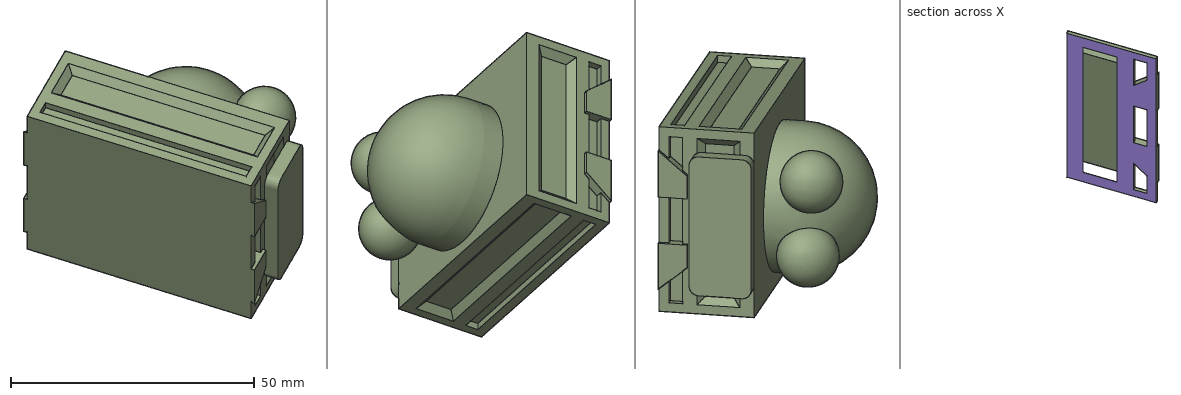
import cadquery as cq

HOUSING_WIDTH = 50.05
HOUSING_DEPTH = 20.0
HOUSING_HEIGHT = 40.0
HALF_WIDTH = HOUSING_WIDTH / 2
HALF_HEIGHT = HOUSING_HEIGHT / 2

WALL_MARGIN = 2.0
POCKET_BACK_MARGIN = 3.0
POCKET_WIDTH = 9.0
POCKET_DEPTH = 1.5
POCKET_TAPER_ANGLE = 45
SLOT_WIDTH = 2.9
SLOT_FRONT_MARGIN = 2.1
SLOT_DEPTH = 1.5

TAB_THICKNESS = 0.75
TAB_LENGTH = 6.0
TAB_INNER_Z = 5.0
TAB_ROOT_HEIGHT = 10.0
TAB_TIP_HEIGHT = TAB_ROOT_HEIGHT / 2

PAD_THICKNESS = 3.0
PAD_DEPTH = 13.0
PAD_HEIGHT = 30.1
PAD_CORNER_RADIUS = 2.0

DOME_RADIUS = 31.5 / 2
DOME_COLLAR = 4.45
DOME_Z = -1.7
DOME_CENTRE_Y = HOUSING_DEPTH + DOME_COLLAR

BALL_RADIUS = 6.45
BALL_CENTRES = [
    (15.2, DOME_CENTRE_Y + 5.5, DOME_Z + 8.65),
    (13.95, DOME_CENTRE_Y + 4.45, DOME_Z - 7.85),
]

POCKET_Y = HOUSING_DEPTH - POCKET_BACK_MARGIN - POCKET_WIDTH / 2
SLOT_Y = SLOT_FRONT_MARGIN + SLOT_WIDTH / 2


def wall_planes():
    """Outward planes of the four narrow walls, local Y along +Y, with each wall's length."""
    sides = [
        ((1, 0, 0), HALF_WIDTH, HOUSING_HEIGHT),
        ((-1, 0, 0), HALF_WIDTH, HOUSING_HEIGHT),
        ((0, 0, 1), HALF_HEIGHT, HOUSING_WIDTH),
        ((0, 0, -1), HALF_HEIGHT, HOUSING_WIDTH),
    ]
    planes = []
    for normal, distance, length in sides:
        origin = tuple(distance * part for part in normal)
        along_wall = (normal[2], 0, -normal[0])
        planes.append((cq.Plane(origin=origin, xDir=along_wall, normal=normal), length))
    return planes


def make_tab(x_side, z_side):
    """A latch tab that fills the slot behind it and stands proud of the wall."""
    z_inner = z_side * TAB_INNER_Z
    z_root = z_side * (TAB_INNER_Z + TAB_ROOT_HEIGHT)
    z_tip = z_side * (TAB_INNER_Z + TAB_TIP_HEIGHT)
    outline = [(0, z_inner), (TAB_LENGTH, z_inner), (TAB_LENGTH, z_tip), (0, z_root)]
    return (
        cq.Workplane("YZ", origin=(x_side * (HALF_WIDTH - SLOT_DEPTH), 0, 0))
        .polyline(outline)
        .close()
        .extrude(x_side * (SLOT_DEPTH + TAB_THICKNESS))
    )


def make_housing():
    housing = cq.Workplane("XY").box(
        HOUSING_WIDTH, HOUSING_DEPTH, HOUSING_HEIGHT, centered=(True, False, True)
    )
    for plane, wall_length in wall_planes():
        recess_length = wall_length - 2 * WALL_MARGIN
        pocket = (
            cq.Workplane(plane)
            .center(0, POCKET_Y)
            .rect(recess_length, POCKET_WIDTH)
            .extrude(-POCKET_DEPTH, taper=POCKET_TAPER_ANGLE)
        )
        slot = (
            cq.Workplane(plane)
            .center(0, SLOT_Y)
            .rect(recess_length, SLOT_WIDTH)
            .extrude(-SLOT_DEPTH)
        )
        housing = housing.cut(pocket).cut(slot)
    for x_side in (-1, 1):
        for z_side in (-1, 1):
            housing = housing.union(make_tab(x_side, z_side))
    return housing.clean()


def make_pad():
    """A plate with rounded corners; the housing pocket behind it stays empty."""
    return (
        cq.Workplane("YZ", origin=(HALF_WIDTH, HOUSING_DEPTH - PAD_DEPTH / 2, 0))
        .rect(PAD_DEPTH, PAD_HEIGHT)
        .extrude(PAD_THICKNESS)
        .edges("|X")
        .fillet(PAD_CORNER_RADIUS)
    )


def make_ball(centre):
    return cq.Workplane("XZ").sphere(BALL_RADIUS).translate(centre)


def make_dome(balls):
    """The dome, with a matching socket for each ball."""
    dome = (
        cq.Workplane("XY", origin=(0, HOUSING_DEPTH, DOME_Z))
        .lineTo(DOME_RADIUS, 0)
        .lineTo(DOME_RADIUS, DOME_COLLAR)
        .radiusArc((0, DOME_COLLAR + DOME_RADIUS), -DOME_RADIUS)
        .close()
        .revolve(360, (0, 0, 0), (0, 1, 0))
    )
    for ball in balls:
        dome = dome.cut(ball)
    return dome


housing = make_housing()
pad = make_pad()
balls = [make_ball(centre) for centre in BALL_CENTRES]
dome = make_dome(balls)

result = cq.Compound.makeCompound(
    [housing.val(), pad.val(), dome.val(), *[ball.val() for ball in balls]]
)